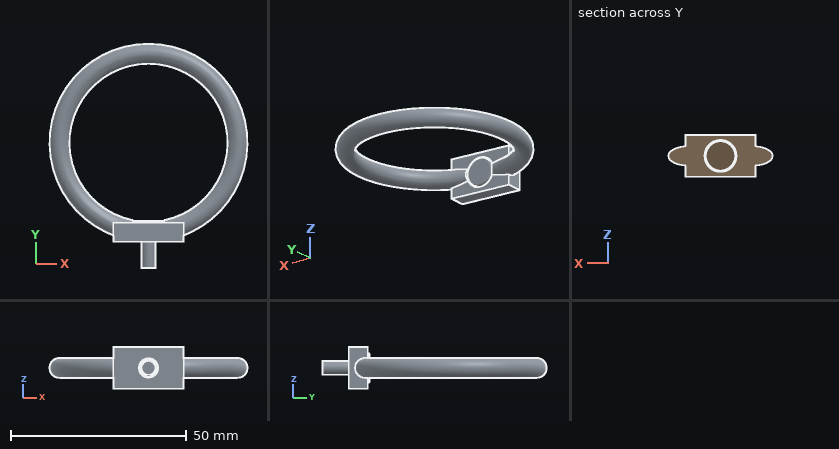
import cadquery as cq
import math

ring_outer_diameter = 56.5
ring_inner_diameter = 45.0
ring_wire_diameter = (ring_outer_diameter - ring_inner_diameter) / 2
ring_centre_radius = (ring_outer_diameter - ring_wire_diameter) / 2

block_width = 20.0
block_depth = 5.5
block_height = 12.0
block_front_y = -ring_outer_diameter / 2
block_back_y = block_front_y + block_depth

front_hole_diameter = 5.5
head_recess_diameter = 9.0
web_thickness = 3.0
web_back_y = block_front_y + web_thickness

shaft_diameter = 4.02
shaft_projection = 7.5
neck_diameter = 5.0
taper_depth = 0.1
taper_angle = 30.0
taper_radial_step = (neck_diameter - shaft_diameter) / 2
taper_length = taper_radial_step / math.tan(math.radians(taper_angle))
head_diameter = 8.5
head_projection = 0.5
head_edge_fillet = 0.5
neck_front_y = block_front_y + taper_depth
neck_length = web_back_y - neck_front_y
shaft_length = web_thickness + shaft_projection
head_length = block_back_y + head_projection - web_back_y


def cylinder_along_y(diameter, start_y, length):
    """Cylinder on the Y axis that runs from start_y toward +Y."""
    return cq.Workplane("XZ", origin=(0, start_y, 0)).circle(diameter / 2).extrude(-length)


def make_pull_ring():
    """Ring and block as one solid, with the stepped hole for the stud."""
    ring = (
        cq.Workplane("YZ")
        .center(-ring_centre_radius, 0)
        .circle(ring_wire_diameter / 2)
        .revolve(360, (ring_centre_radius, 0), (ring_centre_radius, 1))
    )
    block_centre_y = (block_front_y + block_back_y) / 2
    block = cq.Workplane("XY", origin=(0, block_centre_y, 0)).box(block_width, block_depth, block_height)
    front_hole = cylinder_along_y(front_hole_diameter, block_front_y, block_depth)
    head_recess = cylinder_along_y(head_recess_diameter, web_back_y, block_depth + ring_wire_diameter)
    return ring.union(block).cut(front_hole).cut(head_recess)


def make_stud():
    """Headed stud with a tapered neck and a rounded rear head edge."""
    head = cylinder_along_y(head_diameter, web_back_y, head_length).faces(">Y").edges().fillet(head_edge_fillet)
    neck = cylinder_along_y(neck_diameter, neck_front_y, neck_length)
    neck = neck.faces("<Y").edges().chamfer(taper_length, taper_radial_step)
    shaft = cylinder_along_y(shaft_diameter, web_back_y - shaft_length, shaft_length)
    return head.union(neck).union(shaft)


pull_ring = make_pull_ring()
stud = make_stud()

result = cq.Compound.makeCompound([pull_ring.val(), stud.val()])